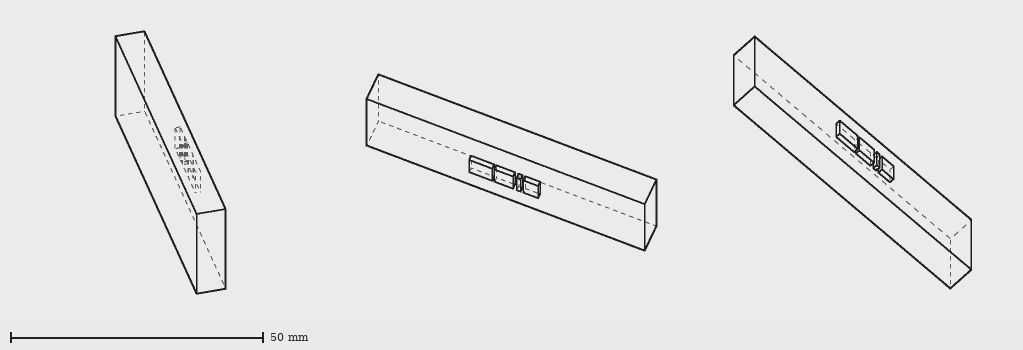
import cadquery as cq

length = 60.0
thickness = 6.0
height = length / 3

pad_rise = 1.0
pad_height = 5.2
pad_spans = [
    (-7.45, -4.25),
    (-3.65, -2.8),
    (-2.05, 2.0),
    (2.45, 7.45),
]


def raised_pad(left, right):
    """Rectangular pad standing on the rear face between two X positions."""
    pad = cq.Workplane("XY").box(right - left, pad_rise, pad_height)
    return pad.translate(((left + right) / 2, (thickness + pad_rise) / 2, 0))


result = cq.Workplane("XY").box(length, thickness, height)
for left_edge, right_edge in pad_spans:
    result = result.union(raised_pad(left_edge, right_edge))